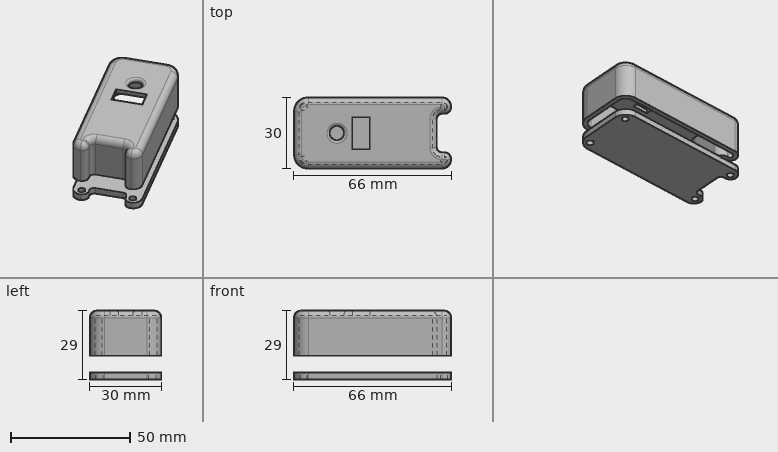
import cadquery as cq

length = 66.0
width = 30.0
lid_thickness = 3.0
lid_gap = 7.0
housing_height = 19.0
housing_base = lid_thickness + lid_gap
housing_top = housing_base + housing_height

corner_radius = 6.0
notch_depth = 6.0
notch_width = 16.0
notch_corner_radius = 2.0
arm_outer_radius = 4.0
arm_inner_radius = 3.0

wall = 2.0
top_edge_radius = 3.0

button_x = 18.0
button_diameter = 6.0
button_edge_radius = 1.2

window_x = 28.1
window_length = 7.4
window_width = 13.4

screw_diameter = 3.0
wide_screw_diameter = 3.2
screw_inset_closed_end = 3.9
screw_inset_arm_end = 3.1
screw_inset_y = 3.9


def case_outline(base):
    """Closed wire of the notched plan outline, drawn counter-clockwise at height `base`."""
    half_width = width / 2
    half_notch = notch_width / 2
    notch_x = length - notch_depth
    return (
        cq.Workplane("XY", origin=(0, 0, base))
        .moveTo(corner_radius, -half_width)
        .lineTo(length - arm_outer_radius, -half_width)
        .radiusArc((length, -half_width + arm_outer_radius), -arm_outer_radius)
        .radiusArc((length - arm_inner_radius, -half_notch), -arm_inner_radius)
        .lineTo(notch_x + notch_corner_radius, -half_notch)
        .radiusArc((notch_x, -half_notch + notch_corner_radius), notch_corner_radius)
        .lineTo(notch_x, half_notch - notch_corner_radius)
        .radiusArc((notch_x + notch_corner_radius, half_notch), notch_corner_radius)
        .lineTo(length - arm_inner_radius, half_notch)
        .radiusArc((length, half_width - arm_outer_radius), -arm_inner_radius)
        .radiusArc((length - arm_outer_radius, half_width), -arm_outer_radius)
        .lineTo(corner_radius, half_width)
        .radiusArc((0, half_width - corner_radius), -corner_radius)
        .lineTo(0, -half_width + corner_radius)
        .radiusArc((corner_radius, -half_width), -corner_radius)
        .close()
    )


def button_cutter():
    """Round hole through the roof that flares out to the top face with a rounded edge."""
    radius = button_diameter / 2
    rim_radius = radius + button_edge_radius
    rim_start = housing_top - button_edge_radius
    return (
        cq.Workplane("XZ", origin=(button_x, 0, 0))
        .moveTo(0, housing_top - wall)
        .lineTo(radius, housing_top - wall)
        .lineTo(radius, rim_start)
        .radiusArc((rim_radius, housing_top), button_edge_radius)
        .lineTo(0, housing_top)
        .close()
        .revolve(360, (0, 0, 0), (0, 1, 0))
    )


def window_cutter():
    """Rectangular opening through the roof."""
    return cq.Workplane("XY", origin=(window_x, 0, housing_top - wall)).box(
        window_length, window_width, wall, centered=(True, True, False)
    )


def make_housing():
    """Open-bottomed shell with a rounded top edge, a button hole and a display window."""
    block = case_outline(housing_base).extrude(housing_height)
    block = block.faces(">Z").edges().fillet(top_edge_radius)
    cavity = case_outline(housing_base).offset2D(-wall).extrude(housing_height - wall)
    return block.cut(cavity).cut(button_cutter()).cut(window_cutter())


def make_lid():
    """Flat plate with the same outline as the housing and four screw holes."""
    screw_y = width / 2 - screw_inset_y
    closed_end_x = screw_inset_closed_end
    arm_end_x = length - screw_inset_arm_end
    screw_points = [(closed_end_x, -screw_y), (arm_end_x, -screw_y), (arm_end_x, screw_y)]

    plate = case_outline(0).extrude(lid_thickness)
    screws = cq.Workplane("XY").pushPoints(screw_points).circle(screw_diameter / 2).extrude(lid_thickness)
    wide_screw = (
        cq.Workplane("XY")
        .center(closed_end_x, screw_y)
        .circle(wide_screw_diameter / 2)
        .extrude(lid_thickness)
    )
    return plate.cut(screws).cut(wide_screw)


housing = make_housing()
lid = make_lid()

result = cq.Compound.makeCompound([housing.val(), lid.val()])